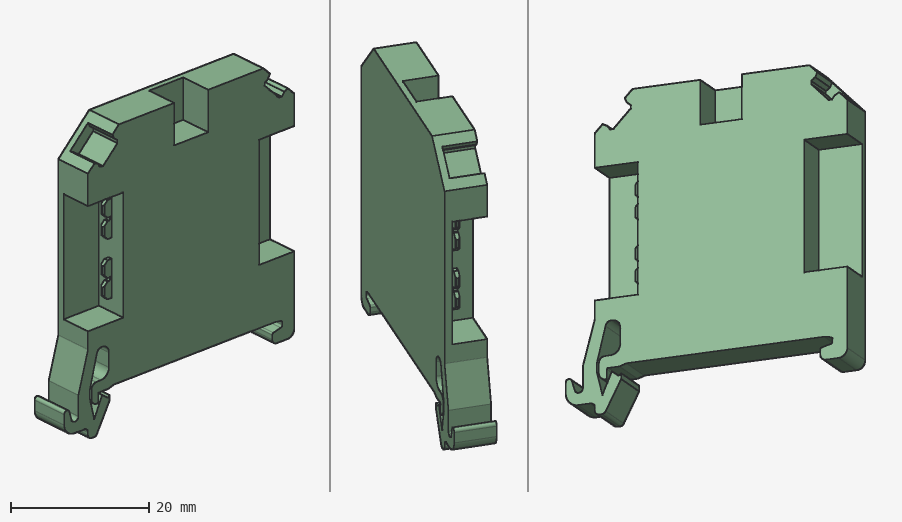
import cadquery as cq
import math


width = 6.5
length = 40.0
height = 48.85
corner_chamfer = 6.0
base_z = 7.25
side_wall = 1.15

foot_spring_y = -1.85
foot_lip_y = -4.6
foot_lip_z = 1.85
foot_floor_z = 3.7
slit_y = 0.35
tongue_y = 0.7
slot_y = 4.05

hook_z = 3.7
hook_tip_y = 35.7
hook_throat_y = 37.65

recess_depth = 6.85
wire_recess_bottom = 17.45
wire_recess_top = 37.6
top_recess_wall = 1.05
top_recess_length = 6.6

contact_thickness = 0.7
contact_x = 3.65
contact_height = 2.9
contact_reach = 1.6
nose_bevel = 0.8
nose_edge_chamfer = 0.2
shoulder = 0.3
pair_bottoms = (29.45, 19.75)
upper_contact_rise = 3.4


def rounded_profile(corners):
    """Closed wire in the YZ plane from (y, z, radius) corners; radius 0 keeps a corner sharp."""
    spans = []
    for i, (y, z, radius) in enumerate(corners):
        corner = cq.Vector(y, z)
        if radius == 0:
            spans.append((corner, None, corner))
            continue
        before = cq.Vector(*corners[i - 1][:2])
        after = cq.Vector(*corners[(i + 1) % len(corners)][:2])
        to_before = (before - corner).normalized()
        to_after = (after - corner).normalized()
        half_angle = to_before.getAngle(to_after) / 2
        tangent_length = radius / math.tan(half_angle)
        bisector = (to_before + to_after).normalized()
        arc_middle = corner + bisector * (radius / math.sin(half_angle) - radius)
        spans.append((corner + to_before * tangent_length, arc_middle, corner + to_after * tangent_length))

    profile = cq.Workplane("YZ").moveTo(*spans[0][2].toTuple()[:2])
    for start, arc_middle, end in spans[1:] + spans[:1]:
        profile = profile.lineTo(*start.toTuple()[:2])
        if arc_middle is not None:
            profile = profile.threePointArc(arc_middle.toTuple()[:2], end.toTuple()[:2])
    return profile.close()


def housing_blank():
    """Full-width plate with the rear rail hook and the sprung front foot."""
    top_corners = [
        (0, height - corner_chamfer, 0),
        (corner_chamfer, height, 0),
        (length - corner_chamfer, height, 0),
        (length, height - corner_chamfer, 0),
    ]
    rear_hook = [
        (length, hook_z, 1.35),
        (hook_tip_y, hook_z, 0.9),
        (hook_tip_y, 5.55, 0.3),
        (hook_throat_y, 6.05, 0.4),
        (hook_throat_y, 7.0, 0.4),
        (36.35, base_z, 0),
    ]
    tongue = [
        (5.05, base_z, 0),
        (3.95, 6.9, 0),
        (1.95, 6.9, 0.2),
        (1.95, 5.25, 0.15),
        (tongue_y, 5.25, 1.05),
        (tongue_y, 8.75, 0.95),
    ]
    spring_slot = [
        (slot_y, 8.8, 1.55),
        (slot_y, 14.05, 1.3),
        (1.9, 14.05, 1.0),
        (slit_y, 7.8, 0),
        (slit_y, 6.55, 0),
        (1.2, 2.9, 0),
    ]
    latch = [
        (2.75, 6.3, 0),
        (3.85, 5.45, 0.2),
        (4.2, 5.8, 0),
        (4.2, 4.95, 0),
        (1.55, 0, 0.7),
        (0, 0, 0.75),
    ]
    release_lip = [
        (0, foot_lip_z, 0.7),
        (foot_lip_y, foot_lip_z, 1.95),
        (foot_lip_y, 6.0, 0.5),
        (-3.7, 6.0, 0.5),
        (-3.05, foot_floor_z, 0.65),
        (foot_spring_y, foot_floor_z, 0.65),
        (foot_spring_y, 7.75, 0),
        (0, 14.5, 0),
    ]
    corners = top_corners + rear_hook + tongue + spring_slot + latch + release_lip
    return rounded_profile(corners).extrude(width)


def mirrored_to_rear(cutter):
    """The same cutter reflected about the middle of the housing length."""
    return cutter.mirror("XZ", (0, length / 2, 0))


def wire_recess():
    """Rectangular recess in the front end face, open towards +X."""
    return (
        cq.Workplane("XY")
        .box(width, recess_depth, wire_recess_top - wire_recess_bottom, centered=False)
        .translate((side_wall, 0, wire_recess_bottom))
    )


def top_recess():
    """Rectangular recess in the middle of the top face, open towards +X."""
    return (
        cq.Workplane("XY")
        .box(width, top_recess_length, recess_depth, centered=False)
        .translate((top_recess_wall, (length - top_recess_length) / 2, height - recess_depth))
    )


def chamfer_pocket():
    """Undercut pocket in the front chamfer, symmetric about the chamfer's middle."""
    lower_half = [(4.75, 4.75), (4.05, 5.1), (3.55, 5.7), (3.1, 5.7)]
    upper_half = [(corner_chamfer - down, corner_chamfer - out) for out, down in reversed(lower_half)]
    section = [(corner_chamfer - out, height - down) for out, down in lower_half + upper_half]
    return cq.Workplane("YZ").workplane(offset=side_wall).polyline(section).close().extrude(width)


def make_housing():
    housing = housing_blank().cut(top_recess())
    for cutter in (wire_recess(), chamfer_pocket()):
        housing = housing.cut(cutter).cut(mirrored_to_rear(cutter))
    return housing


def make_contact(bottom_z, shoulder_height):
    """Bevel-nosed blade standing on the recess floor, with a shoulder on top if its height is not 0."""
    nose_y = recess_depth - contact_reach
    bevel_end_y = nose_y + nose_bevel
    top_z = bottom_z + contact_height
    blade = (
        cq.Workplane("YZ")
        .workplane(offset=contact_x - contact_thickness / 2)
        .moveTo(recess_depth, bottom_z)
        .lineTo(bevel_end_y, bottom_z)
        .lineTo(nose_y, bottom_z + nose_bevel)
        .lineTo(nose_y, top_z - nose_bevel)
        .lineTo(bevel_end_y, top_z)
        .lineTo(recess_depth, top_z)
        .close()
        .extrude(contact_thickness)
        .faces("<Y")
        .edges("|Z")
        .chamfer(nose_edge_chamfer)
    )
    if shoulder_height == 0:
        return blade
    shoulder_y = bevel_end_y + shoulder_height
    ridge = (
        cq.Workplane("YZ")
        .workplane(offset=contact_x - contact_thickness / 2)
        .moveTo(shoulder_y, top_z)
        .lineTo(shoulder_y + shoulder_height, top_z + shoulder_height)
        .lineTo(recess_depth, top_z + shoulder_height)
        .lineTo(recess_depth, top_z)
        .close()
        .extrude(contact_thickness)
    )
    return blade.union(ridge)


housing = make_housing()

contacts = []
for pair_bottom in pair_bottoms:
    contacts.append(make_contact(pair_bottom, shoulder))
    contacts.append(make_contact(pair_bottom + upper_contact_rise, 0))

result = cq.Compound.makeCompound([housing.val(), *[contact.val() for contact in contacts]])